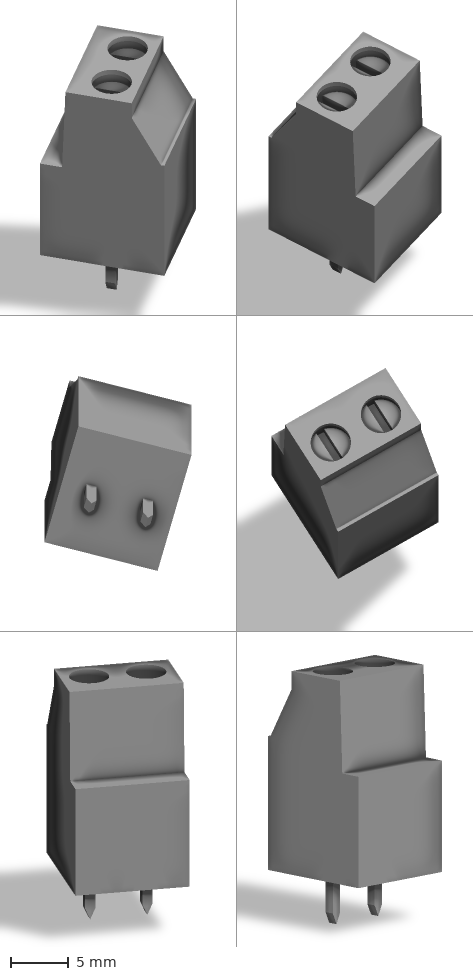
import cadquery as cq
import math


POLE_COUNT = 2
PITCH = 5.08
POLE_POSITIONS = [(i - (POLE_COUNT - 1) / 2) * PITCH for i in range(POLE_COUNT)]

HOUSING_DEPTH = 11.2
HOUSING_WIDTH = POLE_COUNT * PITCH
HOUSING_HEIGHT = 18.0
PIN_ROW_OFFSET = 5.75
REAR_SHELF_HEIGHT = 9.85
REAR_SHELF_DEPTH = 2.0
REAR_WALL_LEAN = 0.3
FRONT_LEDGE_HEIGHT = 11.85
FRONT_LEDGE_DEPTH = 0.3
FRONT_SLOPE_TOP = 16.4
FRONT_SLOPE_ANGLE = 30.0

RIM_DIAMETER = 3.5
RIM_DEPTH = 0.5
WELL_DIAMETER = 3.75
SCREW_DIAMETER = 3.7
HEAD_BEVEL_WIDTH = 0.15
HEAD_BEVEL_DROP = 0.1
SCREW_RECESS = 1.25
SLOT_WIDTH = 0.8
SLOT_DEPTH = 1.0

PIN_SIZE = 0.9
PIN_LENGTH = 4.3
PIN_TIP_LENGTH = 1.0


def make_housing():
    """Stepped and sloped side outline, extruded across all poles."""
    rear = -PIN_ROW_OFFSET
    front = rear + HOUSING_DEPTH
    shelf_inner = rear + REAR_SHELF_DEPTH
    ledge_inner = front - FRONT_LEDGE_DEPTH
    slope_rise = FRONT_SLOPE_TOP - FRONT_LEDGE_HEIGHT
    top_front = ledge_inner - slope_rise * math.tan(math.radians(FRONT_SLOPE_ANGLE))
    outline = [
        (rear, 0),
        (front, 0),
        (front, FRONT_LEDGE_HEIGHT),
        (ledge_inner, FRONT_LEDGE_HEIGHT),
        (top_front, FRONT_SLOPE_TOP),
        (top_front, HOUSING_HEIGHT),
        (shelf_inner + REAR_WALL_LEAN, HOUSING_HEIGHT),
        (shelf_inner, REAR_SHELF_HEIGHT),
        (rear, REAR_SHELF_HEIGHT),
    ]
    return cq.Workplane("XZ").polyline(outline).close().extrude(HOUSING_WIDTH / 2, both=True)


def make_screw_well(y):
    """Space around one screw: rim, wider bore, gap around the bevelled head and driver slot."""
    top = cq.Workplane("XY", origin=(0, y, HOUSING_HEIGHT))
    rim = top.circle(RIM_DIAMETER / 2).extrude(-RIM_DEPTH)
    bore = (
        top.workplane(offset=-RIM_DEPTH)
        .circle(WELL_DIAMETER / 2)
        .extrude(RIM_DEPTH - SCREW_RECESS - SLOT_DEPTH)
    )
    head = (
        top.workplane(offset=-SCREW_RECESS)
        .circle(SCREW_DIAMETER / 2)
        .extrude(-SLOT_DEPTH)
        .faces(">Z")
        .chamfer(HEAD_BEVEL_DROP, HEAD_BEVEL_WIDTH)
    )
    slot = (
        top.workplane(offset=-SCREW_RECESS)
        .rect(WELL_DIAMETER, SLOT_WIDTH)
        .extrude(-SLOT_DEPTH)
    )
    return rim.union(bore).cut(head.cut(slot))


def make_pin(y):
    """Square pin below the housing, sharpened to an edge that runs along X."""
    half = PIN_SIZE / 2
    shoulder = PIN_TIP_LENGTH - PIN_LENGTH
    outline = [(y - half, 0), (y - half, shoulder), (y, -PIN_LENGTH), (y + half, shoulder), (y + half, 0)]
    return cq.Workplane("YZ").polyline(outline).close().extrude(half, both=True)


result = make_housing()
for pole_y in POLE_POSITIONS:
    result = result.cut(make_screw_well(pole_y))
    result = result.union(make_pin(pole_y))